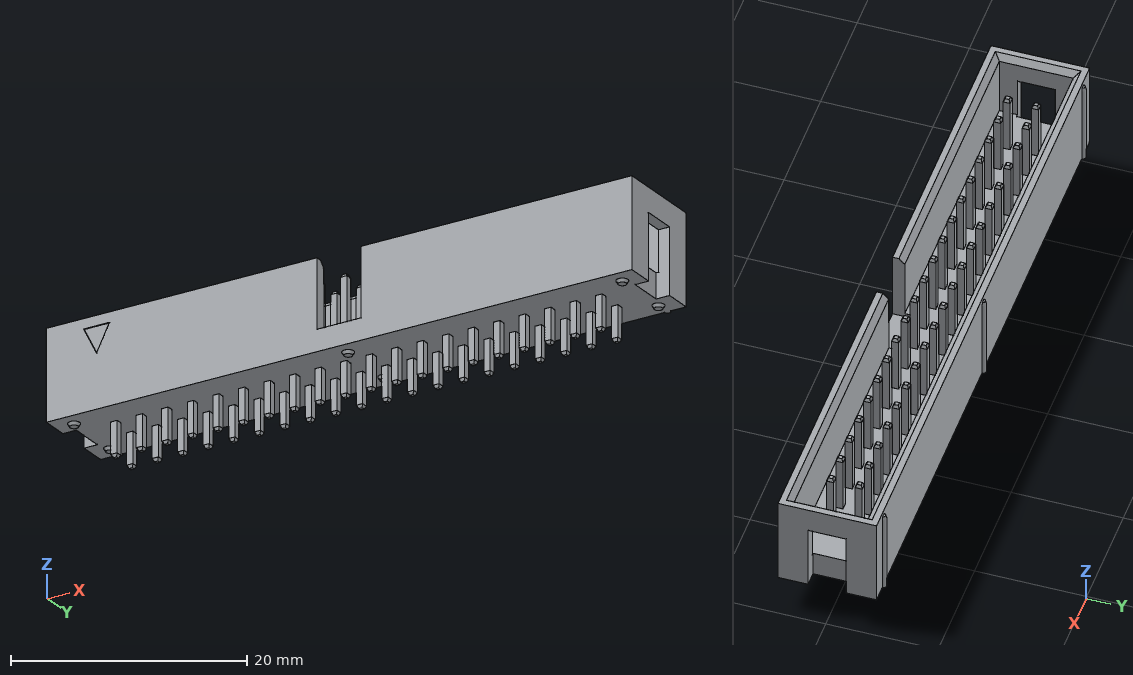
import cadquery as cq

length = 58.3
width = 8.8
height = 8.8
wall = 1.1
floor = 2.45
rim_chamfer = 0.5

notch_width = 4.4
notch_depth = 1.8
notch_floor_drop = 0.35

slot_width = 3.4
slot_height = 6.4
slot_overrun = 0.25

pin_columns = 20
pin_rows = 2
pin_row_length = 48.3
pitch = pin_row_length / (pin_columns - 1)
pin_size = 0.65
pin_chamfer_width = 0.145
pin_chamfer_height = 0.3
pin_tail = 3.3
pin_top_gap = 0.6

marker_size = 2.55
marker_gap = 1.0
marker_depth = 0.1

support_spacing = 27.3
standoff_offset = 2.9
standoff_radius = 0.555
standoff_height = 0.3
standoff_taper = 0.2
rib_radius = 0.3
rib_top_gap = 0.45
rib_tip_radius = 0.205
rib_tip_height = 0.35

front = -width / 2
back = width / 2
first_pin_x = -pin_row_length / 2
support_places = [-support_spacing, 0, support_spacing]


def block(x_size, y_size, z_size, x, y, z):
    """Box centred on x and y, with its underside at z."""
    return cq.Workplane("XY").box(x_size, y_size, z_size, centered=(True, True, False)).translate((x, y, z))


def make_housing():
    """Open-topped box with a chamfered inner rim."""
    cavity_length = length - 2 * wall
    cavity_width = width - 2 * wall
    cavity = block(cavity_length, cavity_width, height, 0, 0, floor)
    rim = (
        cq.Workplane("XY", origin=(0, 0, height - rim_chamfer))
        .rect(cavity_length, cavity_width)
        .workplane(offset=rim_chamfer)
        .rect(cavity_length + 2 * rim_chamfer, cavity_width + 2 * rim_chamfer)
        .loft(ruled=True)
    )
    return block(length, width, height, 0, 0, 0).cut(cavity).cut(rim)


def make_notch():
    """Keying notch, cut through the front wall and slightly into the floor."""
    return block(notch_width, notch_depth, height, 0, front + notch_depth / 2, floor - notch_floor_drop)


def make_end_slot(side):
    """Slot through the end wall on the given side, just reaching into the floor."""
    depth = wall + slot_overrun
    return block(depth, slot_width, slot_height, side * (length - depth) / 2, 0, 0)


def make_marker():
    """Triangle over the first pin, pointing down."""
    top = height - marker_gap
    outline = [
        (first_pin_x - marker_size / 2, top),
        (first_pin_x + marker_size / 2, top),
        (first_pin_x, top - marker_size),
    ]
    return cq.Workplane("XZ", origin=(0, front, 0)).polyline(outline).close().extrude(-marker_depth)


def make_pin():
    """Square pin on the Z axis, tapered at both ends."""
    tip_size = pin_size - 2 * pin_chamfer_width
    shaft_bottom = pin_chamfer_height - pin_tail
    shaft_top = height - pin_top_gap - pin_chamfer_height
    pin = block(pin_size, pin_size, shaft_top - shaft_bottom, 0, 0, shaft_bottom)
    for z, taper_height in ((shaft_top, pin_chamfer_height), (shaft_bottom, -pin_chamfer_height)):
        tip = (
            cq.Workplane("XY", origin=(0, 0, z))
            .rect(pin_size, pin_size)
            .workplane(offset=taper_height)
            .rect(tip_size, tip_size)
            .loft(ruled=True)
        )
        pin = pin.union(tip)
    return pin


def make_all_pins():
    """Two rows of pins, centred on the housing."""
    pin = make_pin().val()
    places = cq.Workplane("XY").rarray(pitch, pitch, pin_columns, pin_rows)
    return places.eachpoint(lambda place: pin.moved(place))


def make_standoff(x, y):
    """Round foot under the housing, narrowing downward."""
    return (
        cq.Workplane("XY", origin=(x, y, 0))
        .circle(standoff_radius)
        .workplane(offset=-standoff_height)
        .circle(standoff_radius - standoff_taper)
        .loft(ruled=True)
    )


def make_rib(x):
    """Upright half-round rib on the back wall, narrowing at its top."""
    straight_height = height - rib_top_gap - rib_tip_height
    shaft = cq.Workplane("XY", origin=(x, back, 0)).circle(rib_radius).extrude(straight_height)
    tip = (
        cq.Workplane("XY", origin=(x, back, straight_height))
        .circle(rib_radius)
        .workplane(offset=rib_tip_height)
        .circle(rib_tip_radius)
        .loft(ruled=True)
    )
    return shaft.union(tip)


result = make_housing()
for x in support_places:
    result = result.union(make_rib(x))
    for y in (-standoff_offset, standoff_offset):
        result = result.union(make_standoff(x, y))

result = result.cut(make_notch()).cut(make_marker())
for side in (-1, 1):
    result = result.cut(make_end_slot(side))

result = result.union(make_all_pins())